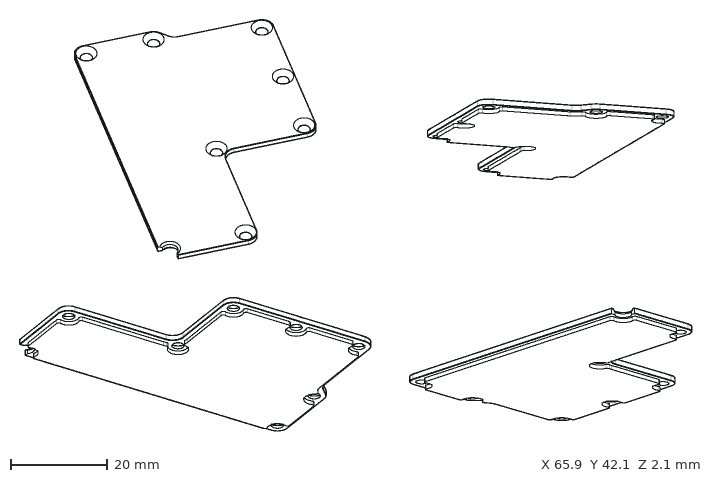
import cadquery as cq
import math

length = 65.9
depth = 42.1
total_thickness = 2.1
lip_height = 0.85
plate_thickness = total_thickness - lip_height
rim_chamfer = 0.1

tower_left = 3.0
tower_right = 38.6
shoulder_y = 21.15
corner_radius = 2.5
slope_start_y = 17.1

hole_diameter = 2.5
countersink_diameter = 4.4
countersink_angle = 75.0
inner_corner_hole = (37.65, 20.2)
right_hole_y = 18.8
hole_positions = [
    (corner_radius, corner_radius),
    (corner_radius, slope_start_y),
    (tower_left + corner_radius, depth - corner_radius),
    ((tower_left + tower_right) / 2, depth - corner_radius),
    (tower_right - corner_radius, depth - corner_radius),
    inner_corner_hole,
    (length - corner_radius, right_hole_y),
]

notch_offset = 2.3
notch_center = (length - notch_offset, notch_offset)
notch_radius = 1.7
notch_chamfer = 0.45
notch_corner_size = 3.4

lip_inset = 1.1
relief_radius = 2.2
relief_edge_fillet = 0.5
relief_positions = hole_positions + [(length - corner_radius, corner_radius)]


def outline(inset):
    """Closed plate outline on the XY plane, moved inward by the given inset."""
    convex = corner_radius - inset
    concave = corner_radius + inset
    left, right = inset, length - inset
    bottom, top = inset, depth - inset
    tower_l, tower_r = tower_left + inset, tower_right - inset
    shoulder = shoulder_y - inset
    diagonal = math.sqrt(0.5)

    lower_center = (corner_radius, slope_start_y)
    lower_end = (lower_center[0] - convex * diagonal, lower_center[1] + convex * diagonal)
    upper_center_x = tower_left - corner_radius
    slope_run = upper_center_x - corner_radius + 2 * corner_radius * diagonal
    upper_center_y = slope_start_y + slope_run + 2 * corner_radius * diagonal
    upper_start = (upper_center_x + concave * diagonal, upper_center_y - concave * diagonal)

    return (
        cq.Workplane("XY")
        .moveTo(left + convex, bottom)
        .lineTo(right, bottom)
        .lineTo(right, shoulder - convex)
        .radiusArc((right - convex, shoulder), -convex)
        .lineTo(tower_r + concave, shoulder)
        .radiusArc((tower_r, shoulder + concave), concave)
        .lineTo(tower_r, top - convex)
        .radiusArc((tower_r - convex, top), -convex)
        .lineTo(tower_l + convex, top)
        .radiusArc((tower_l, top - convex), -convex)
        .lineTo(tower_l, upper_center_y)
        .radiusArc(upper_start, concave)
        .lineTo(*lower_end)
        .radiusArc((left, slope_start_y), -convex)
        .lineTo(left, bottom + convex)
        .radiusArc((left + convex, bottom), -convex)
        .close()
    )


def on_relief_rim(edge):
    """True for an upright edge where a relief breaks through the side of the lip."""
    tolerance = 0.005
    middle = edge.Center()
    distances = [math.dist((middle.x, middle.y), position) for position in relief_positions]
    return any(abs(distance - relief_radius) < tolerance for distance in distances)


def make_lip():
    blank = outline(lip_inset).extrude(lip_height)
    reliefs = cq.Workplane("XY").pushPoints(relief_positions).circle(relief_radius).extrude(lip_height)
    lip = blank.cut(reliefs)
    return lip.edges("|Z").filter(on_relief_rim).fillet(relief_edge_fillet)


def make_plate():
    plate = outline(0).extrude(plate_thickness).faces("<Z or >Z").edges().chamfer(rim_chamfer)
    return plate.translate((0, 0, lip_height))


def notch_cutter():
    bore = cq.Workplane("XY").center(*notch_center).circle(notch_radius).extrude(total_thickness)
    cone = cq.Workplane(
        cq.Solid.makeCone(
            notch_radius,
            notch_radius + notch_chamfer,
            notch_chamfer,
            pnt=cq.Vector(*notch_center, total_thickness - notch_chamfer),
        )
    )
    corner = (
        cq.Workplane("XY")
        .center(length, 0)
        .rect(2 * notch_corner_size, 2 * notch_corner_size)
        .extrude(total_thickness)
    )
    return bore.union(cone).union(corner)


cover = make_plate().union(make_lip())
cover = (
    cover.faces(">Z")
    .workplane(origin=(0, 0, total_thickness))
    .pushPoints(hole_positions)
    .cskHole(hole_diameter, countersink_diameter, countersink_angle)
)
result = cover.cut(notch_cutter())